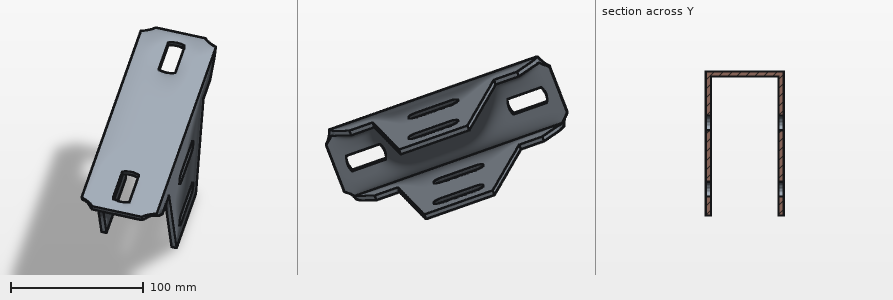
import cadquery as cq

width = 59.0
length = 180.0
height = 109.04
thickness = 4.0

bend_size = 8.0
plate_trim = 2.0
bend_drop = 8.2
bend_angle = 90.0

flange_depth = 20.2
leg_top_half = 48.9
leg_bottom_half = 27.6

plate_slot_diameter = 30.0
plate_slot_width = 13.0
plate_slot_y = 65.0

leg_slot_length = 40.0
leg_slot_width = 11.0
leg_slot_depths = (39.0, 89.0)

half_width = width / 2
half_length = length / 2
bend_x = half_width - bend_size
bend_start_y = half_length - plate_trim
bend_end_y = bend_start_y - bend_drop
flange_bottom_half = bend_end_y - (flange_depth - bend_size)


def make_channel():
    """Square-cornered channel, with the legs cut to their tapered outline."""
    front_half = [
        (half_length, 0),
        (half_length, -bend_size),
        (bend_end_y, -bend_size),
        (flange_bottom_half, -flange_depth),
        (leg_top_half, -flange_depth),
        (leg_bottom_half, -height),
    ]
    back_half = [(-y, z) for y, z in reversed(front_half)]
    block = (
        cq.Workplane("YZ")
        .polyline(front_half + back_half)
        .close()
        .extrude(half_width, both=True)
    )
    inside = (
        cq.Workplane("XY")
        .workplane(offset=-height)
        .rect(width - 2 * thickness, length)
        .extrude(height - thickness)
    )
    return block.cut(inside)


def make_corner_cuts():
    """Waste at the +X +Y corner: a helical wedge, and all that lies beyond its start."""
    wedge_leg_ratio = 2.5
    wedge_leg = wedge_leg_ratio * bend_size
    bend_plane = cq.Plane(
        origin=(bend_x, bend_start_y, -bend_size),
        xDir=(1, 0, 0),
        normal=(0, -1, 0),
    )
    helical_wedge = (
        cq.Workplane(bend_plane)
        .polyline([(0, 0), (0, wedge_leg), (wedge_leg, 0)])
        .close()
        .twistExtrude(bend_drop, -bend_angle)
    )
    end_trim = (
        cq.Workplane("XY")
        .workplane(offset=-bend_size)
        .polyline([
            (bend_x - plate_trim, half_length),
            (bend_x, bend_start_y),
            (half_width, bend_start_y),
            (half_width, half_length),
        ])
        .close()
        .extrude(bend_size)
    )
    return helical_wedge, end_trim


def cut_corners(body):
    """Trim all four corners by mirroring the cuts in both directions."""
    for cut in make_corner_cuts():
        cut_pair = cut.union(cut.mirror("YZ"))
        body = body.cut(cut_pair).cut(cut_pair.mirror("XZ"))
    return body


def cut_plate_slots(body):
    """Cut one flat-sided slot near each end of the top plate."""
    hole = cq.Workplane("XY").circle(plate_slot_diameter / 2).extrude(-thickness)
    flats = cq.Workplane("XY").rect(plate_slot_width, plate_slot_diameter).extrude(-thickness)
    slot = hole.intersect(flats)
    for slot_y in (-plate_slot_y, plate_slot_y):
        body = body.cut(slot.translate((0, slot_y, 0)))
    return body


def cut_leg_slots(body):
    """Cut the round-ended slots through both legs."""
    for depth in leg_slot_depths:
        slot = (
            cq.Workplane("YZ")
            .center(0, -depth)
            .slot2D(leg_slot_length, leg_slot_width)
            .extrude(half_width, both=True)
        )
        body = body.cut(slot)
    return body


bracket = make_channel()
bracket = cut_corners(bracket)
bracket = cut_plate_slots(bracket)
result = cut_leg_slots(bracket)